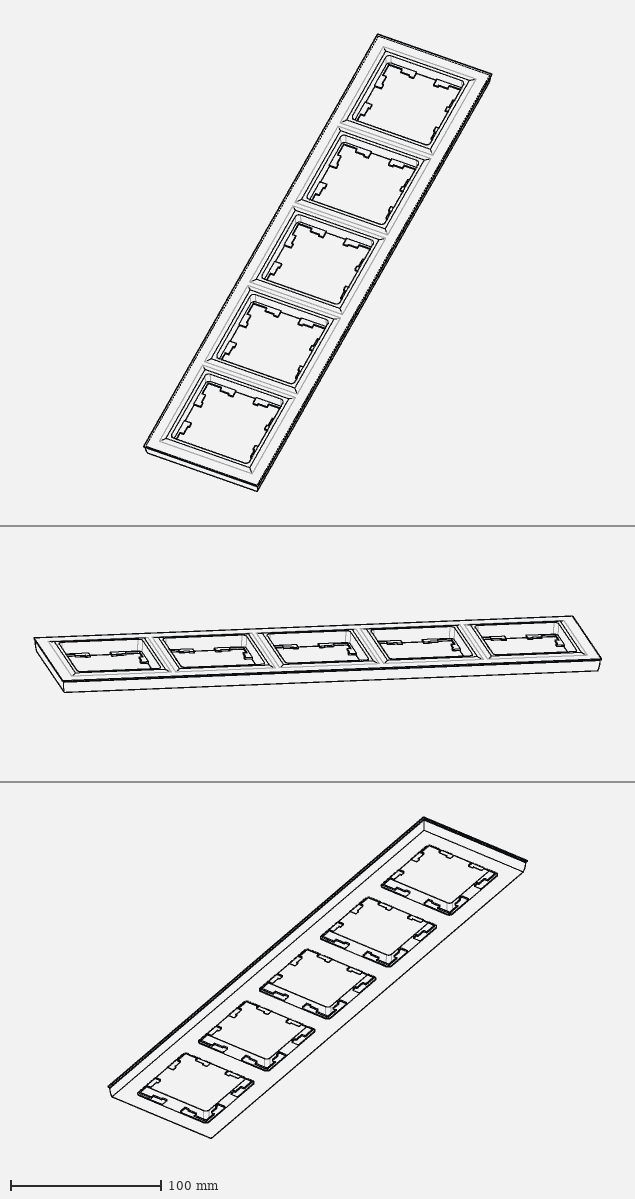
import cadquery as cq
import math

overall_length = 368.8
overall_width = 84.0
tilt = 2.0

flange_height = 0.7
groove_height = 0.7
groove_depth = 1.0
base_height = 7.7
base_step = 0.7
base_inset = 1.0

window_count = 5
bead_size = 68.2
bead_height = 0.92
cove_width = 3.5
crest_width = 2.2
opening_radius = 2.5

lip_thickness = 1.0
lip_lift = 0.7
lip_reach = 1.5
tab_start = 7.5
tab_length = 10.0
tab_reach = 4.0
nub_length = 3.5
nub_reach = 5.0

tilt_sin = math.sin(math.radians(tilt))
tilt_cos = math.cos(math.radians(tilt))
base_top = -flange_height - groove_height
plate_width = (overall_width - flange_height * tilt_sin) / tilt_cos
corner_drop = plate_width * tilt_sin**2
plate_length = (overall_length - corner_drop - flange_height * tilt_sin) / tilt_cos

window_pitch = (plate_length - plate_width) / (window_count - 1)
window_centres = [
    (0, (i - (window_count - 1) / 2) * window_pitch) for i in range(window_count)
]
opening_size = bead_size - 2 * (cove_width + crest_width)
plate_bottom = base_top - base_height


def base_bar(plane, width, length):
    """Bar whose two long sides start upright and curve in towards the bottom."""
    half_top = width / 2 - base_step
    half_bottom = half_top - base_inset
    side_radius = (base_height**2 + base_inset**2) / (2 * base_inset)
    return (
        cq.Workplane(plane)
        .moveTo(-half_top, base_top)
        .lineTo(half_top, base_top)
        .radiusArc((half_bottom, plate_bottom), side_radius)
        .lineTo(-half_bottom, plate_bottom)
        .radiusArc((-half_top, base_top), side_radius)
        .close()
        .extrude(length / 2, both=True)
    )


def make_plate():
    """Plain plate with the rim's top face at Z = 0."""
    flange = cq.Workplane("XY").rect(plate_width, plate_length).extrude(-flange_height)
    neck = (
        cq.Workplane("XY")
        .rect(plate_width - 2 * groove_depth, plate_length - 2 * groove_depth)
        .extrude(base_top)
    )
    base = base_bar("XZ", plate_width, plate_length).intersect(
        base_bar("YZ", plate_length, plate_width)
    )
    return flange.union(neck).union(base)


def bead_bar(plane):
    """Bar with a cove along both sides, running along the normal of the plane."""
    half_foot = bead_size / 2
    half_crest = half_foot - cove_width
    cove_radius = (cove_width**2 + bead_height**2) / (2 * bead_height)
    return (
        cq.Workplane(plane)
        .moveTo(-half_foot, -flange_height)
        .lineTo(-half_foot, 0)
        .radiusArc((-half_crest, bead_height), -cove_radius)
        .lineTo(half_crest, bead_height)
        .radiusArc((half_foot, 0), -cove_radius)
        .lineTo(half_foot, -flange_height)
        .close()
        .extrude(bead_size / 2, both=True)
    )


def make_bead():
    """Raised block with coved sides that meet in mitred corners."""
    return bead_bar("XZ").intersect(bead_bar("YZ"))


def make_opening():
    """Square through opening with rounded corners."""
    return (
        cq.Workplane("XY", origin=(0, 0, plate_bottom))
        .rect(opening_size, opening_size)
        .extrude(bead_height - plate_bottom)
        .edges("|Z").fillet(opening_radius)
    )


def ledge(start, length, reach):
    """Ledge on the -Y wall of an opening, beginning at X = start and rooted in the wall."""
    root = crest_width
    return cq.Workplane("XY").box(
        length, reach + root, lip_thickness, centered=False
    ).translate((start, -opening_size / 2 - root, plate_bottom + lip_lift))


def make_clips():
    """Lips and snap tabs on all four walls of one opening."""
    half_side = (
        ledge(tab_start, opening_size / 2 - tab_start, lip_reach)
        .union(ledge(tab_start, tab_length, tab_reach))
        .union(ledge(tab_start, nub_length, nub_reach))
    )
    side = half_side.union(half_side.mirror("YZ"))
    clips = side
    for quarter in range(1, 4):
        clips = clips.union(side.rotate((0, 0, 0), (0, 0, 1), 90 * quarter))
    return clips


frame = make_plate()
for cx, cy in window_centres:
    place = (cx, cy, 0)
    frame = (
        frame.union(make_bead().translate(place))
        .cut(make_opening().translate(place))
        .union(make_clips().translate(place))
    )

result = (
    frame.rotate((0, 0, 0), (0, 1, 0), -tilt)
    .rotate((0, 0, 0), (1, 0, 0), tilt)
)